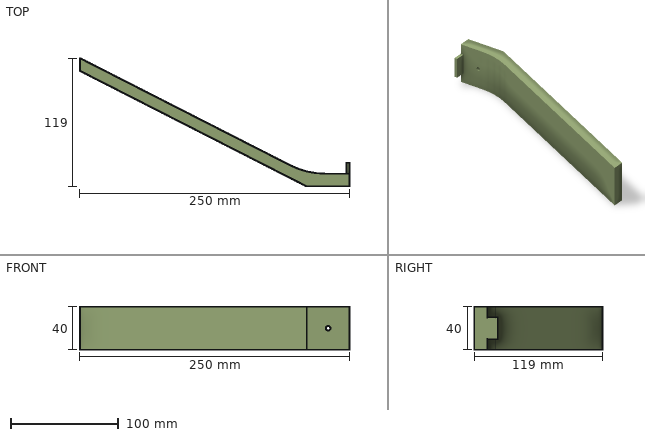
import cadquery as cq
import math

length = 250.0
height = 40.0

pad_length = height
wall = 12.0
arm_angle = 27.0
bend_radius = 70.0

hole_diameter = 4.0

tab_thickness = 3.0
tab_projection = 10.0
tab_height = height / 2

bend_x = length - pad_length
arm_rise = bend_x * math.tan(math.radians(arm_angle))


def make_bar():
    bar = (
        cq.Workplane("XY")
        .moveTo(0, arm_rise)
        .lineTo(bend_x, 0)
        .lineTo(length, 0)
        .lineTo(length, wall)
        .lineTo(bend_x, wall)
        .lineTo(0, arm_rise + wall)
        .close()
        .extrude(height)
    )
    inner_bend = cq.selectors.NearestToPointSelector((bend_x, wall, height / 2))
    return bar.edges("|Z").edges(inner_bend).fillet(bend_radius)


def make_tab():
    return cq.Workplane("XY").box(tab_thickness, tab_projection, tab_height).translate(
        (length - tab_thickness / 2, wall + tab_projection / 2, height / 2)
    )


def make_hole():
    return (
        cq.Workplane("XZ")
        .center(length - pad_length / 2, height / 2)
        .circle(hole_diameter / 2)
        .extrude(-wall)
    )


result = make_bar().union(make_tab()).cut(make_hole())